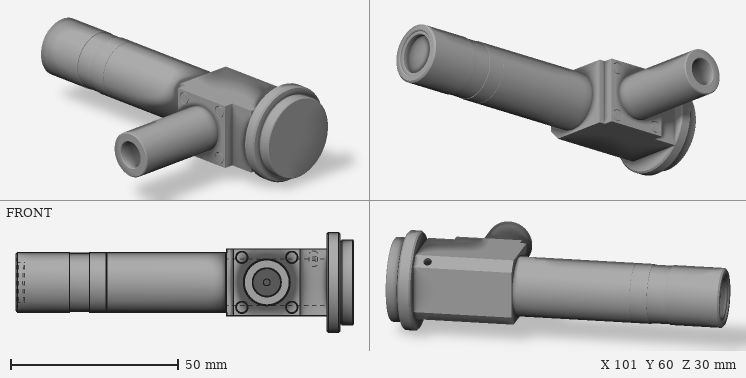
import cadquery as cq
import math

TOTAL_LENGTH = 101.0
TOTAL_WIDTH = 60.0

BARREL_RADIUS = 9.0
BARREL_LENGTH = 63.0
BARREL_CHAMFER = 0.5
GRIP_START = 16.0
GRIP_END = 22.0
GRIP_RADIUS = 8.8
PARTING_START = 27.0
PARTING_WIDTH = 0.3
PARTING_DEPTH = 0.1

RECESS_RADIUS = 7.0
RECESS_CHAMFER = 0.3
RECESS_DEPTH = 0.5
LENS_RADIUS = 6.0
LENS_RIM_DEPTH = 2.5
LENS_SAG = 0.5
LENS_CHAMFER = 0.2

BLOCK_END = 93.0
BLOCK_HEIGHT = 20.0
BLOCK_BACK = 10.0
BLOCK_FRONT = -12.0
BLOCK_BEVEL = 3.0
SET_SCREW_X = 89.0
SET_SCREW_DIAMETER = 2.5
SET_SCREW_DEPTH = 4.0

FLANGE_RADIUS = 30.0 / 2
FLANGE_END = 97.0
FLANGE_CHAMFER = 0.5
NECK_RADIUS = 12.4
NECK_END = 97.6
MOUNT_RADIUS = 12.7
MOUNT_CHAMFER = 0.3

PORT_X = 75.0
PLATE_SIZE = BLOCK_HEIGHT
PLATE_THICKNESS = 3.0
PORT_TIP = FLANGE_RADIUS - TOTAL_WIDTH
TUBE_RADIUS = 14.0 / 2
TUBE_CHAMFER = 0.3
BORE_FLOOR_OFFSET = 3.0
BORE_RADIUS = 4.1
BORE_CHAMFER = 0.2
FIBRE_HOLE_RADIUS = 1.0

SCREW_OFFSET = 7.5
SCREW_RADIUS = 1.6
SCREW_LENGTH = 2.0
SCREW_CLEARANCE = 0.2

PLATE_FACE = BLOCK_FRONT - PLATE_THICKNESS


def turned(profile):
    """Revolve an (x, radius) profile about the optical axis."""
    return cq.Workplane("XY").polyline(profile).close().revolve(360, (0, 0, 0), (1, 0, 0))


def port_cylinder(radius, y_start, y_end, x=PORT_X, z=0.0):
    """Cylinder along -Y from y_start down to y_end."""
    plane = cq.Workplane("XZ", origin=(x, y_start, z))
    return plane.circle(radius).extrude(y_start - y_end)


def make_barrel():
    """Barrel with a relieved grip band and fine grooves at its joints."""
    groove_radius = BARREL_RADIUS - PARTING_DEPTH
    return turned([
        (0, 0),
        (0, BARREL_RADIUS - BARREL_CHAMFER),
        (BARREL_CHAMFER, BARREL_RADIUS),
        (GRIP_START, BARREL_RADIUS),
        (GRIP_START, GRIP_RADIUS),
        (GRIP_END, GRIP_RADIUS),
        (GRIP_END, BARREL_RADIUS),
        (PARTING_START, BARREL_RADIUS),
        (PARTING_START, groove_radius),
        (PARTING_START + PARTING_WIDTH, groove_radius),
        (PARTING_START + PARTING_WIDTH, BARREL_RADIUS),
        (BARREL_LENGTH - PARTING_WIDTH, BARREL_RADIUS),
        (BARREL_LENGTH - PARTING_WIDTH, groove_radius),
        (BARREL_LENGTH, groove_radius),
        (BARREL_LENGTH, 0),
    ])


def make_lens_seat():
    """Space in front of the lens; its inner end is the convex lens face."""
    dome_radius = (LENS_RADIUS**2 + LENS_SAG**2) / (2 * LENS_SAG)
    half_angle = math.asin(LENS_RADIUS / dome_radius) / 2
    lens_apex = LENS_RIM_DEPTH - LENS_SAG
    arc_middle = (
        lens_apex + dome_radius * (1 - math.cos(half_angle)),
        dome_radius * math.sin(half_angle),
    )
    profile = (
        cq.Workplane("XY")
        .lineTo(0, RECESS_RADIUS + RECESS_CHAMFER)
        .lineTo(RECESS_CHAMFER, RECESS_RADIUS)
        .lineTo(RECESS_DEPTH, RECESS_RADIUS)
        .lineTo(RECESS_DEPTH, LENS_RADIUS + LENS_CHAMFER)
        .lineTo(RECESS_DEPTH + LENS_CHAMFER, LENS_RADIUS)
        .lineTo(LENS_RIM_DEPTH, LENS_RADIUS)
        .threePointArc(arc_middle, (lens_apex, 0))
        .close()
    )
    return profile.revolve(360, (0, 0, 0), (1, 0, 0))


def make_block():
    """Beam-splitter block with its two rear edges bevelled."""
    block = (
        cq.Workplane("XY")
        .box(BLOCK_END - BARREL_LENGTH, BLOCK_BACK - BLOCK_FRONT, BLOCK_HEIGHT, centered=False)
        .translate((BARREL_LENGTH, BLOCK_FRONT, -BLOCK_HEIGHT / 2))
    )
    return block.faces(">Y").edges("|X").chamfer(BLOCK_BEVEL)


def make_set_screw_hole():
    """Blind hole drilled square to the middle of the upper bevel."""
    bevel_middle = cq.Vector(
        SET_SCREW_X,
        BLOCK_BACK - BLOCK_BEVEL / 2,
        BLOCK_HEIGHT / 2 - BLOCK_BEVEL / 2,
    )
    inward = cq.Plane(origin=bevel_middle, xDir=(1, 0, 0), normal=(0, -1, -1))
    return cq.Workplane(inward).circle(SET_SCREW_DIAMETER / 2).extrude(SET_SCREW_DEPTH)


def make_camera_mount():
    """Chamfered flange and end disc joined by a narrow neck."""
    return turned([
        (BLOCK_END, 0),
        (BLOCK_END, FLANGE_RADIUS - FLANGE_CHAMFER),
        (BLOCK_END + FLANGE_CHAMFER, FLANGE_RADIUS),
        (FLANGE_END - FLANGE_CHAMFER, FLANGE_RADIUS),
        (FLANGE_END, FLANGE_RADIUS - FLANGE_CHAMFER),
        (FLANGE_END, NECK_RADIUS),
        (NECK_END, NECK_RADIUS),
        (NECK_END, MOUNT_RADIUS),
        (TOTAL_LENGTH - MOUNT_CHAMFER, MOUNT_RADIUS),
        (TOTAL_LENGTH, MOUNT_RADIUS - MOUNT_CHAMFER),
        (TOTAL_LENGTH, 0),
    ])


def make_housing():
    """Barrel, block and camera mount as one body."""
    solid = make_barrel().union(make_block()).union(make_camera_mount())
    return solid.cut(make_lens_seat()).cut(make_set_screw_hole())


def screw_positions():
    """(x, z) of the four corner screws."""
    return [
        (PORT_X + SCREW_OFFSET * side, SCREW_OFFSET * level)
        for side in (-1, 1)
        for level in (-1, 1)
    ]


def make_port():
    """Square plate and hollow tube, with a fibre hole through the plate."""
    bore_floor = PLATE_FACE - BORE_FLOOR_OFFSET
    plate = (
        cq.Workplane("XZ", origin=(PORT_X, BLOCK_FRONT, 0))
        .rect(PLATE_SIZE, PLATE_SIZE)
        .extrude(PLATE_THICKNESS)
    )
    tube = port_cylinder(TUBE_RADIUS, PLATE_FACE, PORT_TIP)
    tube = tube.cut(port_cylinder(BORE_RADIUS, bore_floor, PORT_TIP))
    tube = tube.faces("<Y").edges(cq.selectors.RadiusNthSelector(0)).chamfer(BORE_CHAMFER)
    tube = tube.faces("<Y").edges(cq.selectors.RadiusNthSelector(-1)).chamfer(TUBE_CHAMFER)
    port = plate.union(tube)
    port = port.cut(port_cylinder(FIBRE_HOLE_RADIUS, BLOCK_FRONT, bore_floor))
    for x, z in screw_positions():
        counterbore = port_cylinder(
            SCREW_RADIUS + SCREW_CLEARANCE, PLATE_FACE + SCREW_LENGTH, PLATE_FACE, x, z
        )
        port = port.cut(counterbore)
    return port


def make_screw(x, z):
    """Screw head standing on its counterbore floor, flush with the plate."""
    return port_cylinder(SCREW_RADIUS, PLATE_FACE + SCREW_LENGTH, PLATE_FACE, x, z)


housing = make_housing()
port = make_port()
screws = [make_screw(x, z).val() for x, z in screw_positions()]

result = cq.Compound.makeCompound([housing.val(), port.val(), *screws])